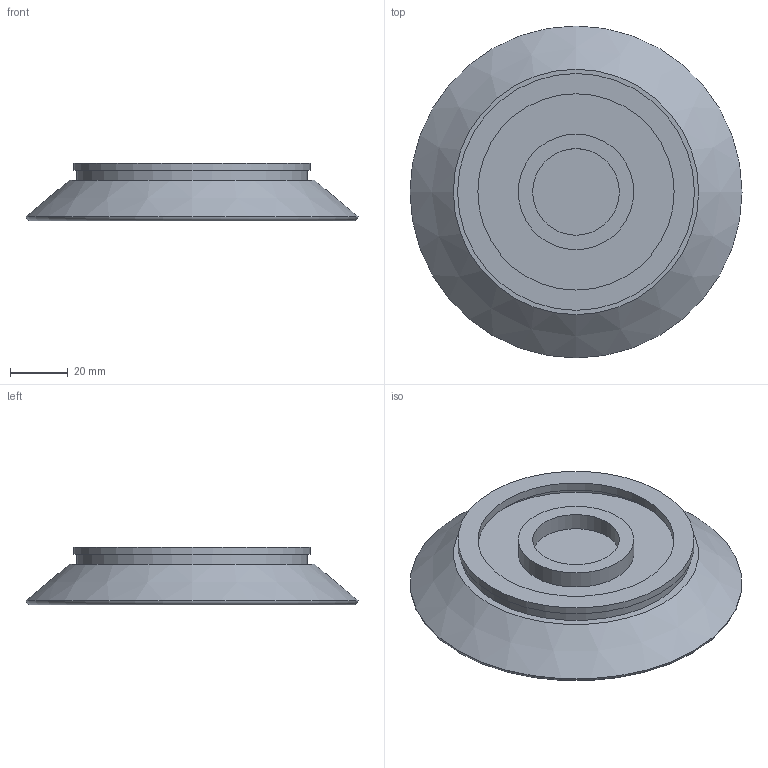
import cadquery as cq

HEIGHT = 20.0
RIM_RADIUS = 115.0 / 2

RIM_HEIGHT = 1.5
SKIRT_TOP_RADIUS = 85.0 / 2
SKIRT_TOP_Z = 14.0

NECK_RADIUS = 80.0 / 2
LIP_RADIUS = 82.0 / 2
LIP_HEIGHT = 2.5

RECESS_DEPTH = 6.0
RECESS_MOUTH_RADIUS = 68.0 / 2
RECESS_UNDERCUT_RADIUS = 74.0 / 2
UNDERCUT_HEIGHT = 3.0

RING_OUTER_RADIUS = 40.0 / 2
RING_INNER_RADIUS = 30.0 / 2

RECESS_FLOOR_Z = HEIGHT - RECESS_DEPTH


def disc(radius, bottom_z, height):
    """Solid cylinder on the Z axis."""
    return cq.Workplane("XY").workplane(offset=bottom_z).circle(radius).extrude(height)


def make_body():
    """Revolved outer shape: rim rounded over its full height, skirt, neck and lip."""
    lip_bottom_z = HEIGHT - LIP_HEIGHT
    return (
        cq.Workplane("XZ")
        .moveTo(0, 0)
        .lineTo(RIM_RADIUS - RIM_HEIGHT, 0)
        .tangentArcPoint((RIM_RADIUS, RIM_HEIGHT), relative=False)
        .lineTo(SKIRT_TOP_RADIUS, SKIRT_TOP_Z)
        .lineTo(NECK_RADIUS, SKIRT_TOP_Z)
        .lineTo(NECK_RADIUS, lip_bottom_z)
        .lineTo(LIP_RADIUS, lip_bottom_z)
        .lineTo(LIP_RADIUS, HEIGHT)
        .lineTo(0, HEIGHT)
        .close()
        .revolve(360, (0, 0, 0), (0, 1, 0))
    )


def make_recess():
    """Material removed from the top: mouth and undercut, less the central ring."""
    mouth = disc(RECESS_MOUTH_RADIUS, RECESS_FLOOR_Z, RECESS_DEPTH)
    undercut = disc(RECESS_UNDERCUT_RADIUS, RECESS_FLOOR_Z, UNDERCUT_HEIGHT)
    ring = disc(RING_OUTER_RADIUS, RECESS_FLOOR_Z, RECESS_DEPTH)
    bore = disc(RING_INNER_RADIUS, RECESS_FLOOR_Z, RECESS_DEPTH)
    return mouth.union(undercut).cut(ring.cut(bore))


result = make_body().cut(make_recess())